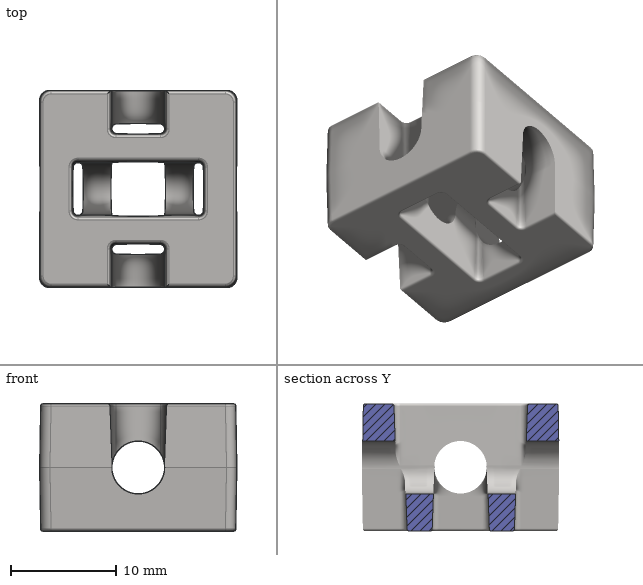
import cadquery as cq

side = 18.8
half_height = 6.07
body_draft = 1.0
corner_radius = 1.0
rim_radius = 0.25

bore_diameter = 5.0

pocket_draft = 2.0
pocket_length = 12.25
bore_bite = 0.01
pocket_width = bore_diameter - 2 * bore_bite
slot_depth = 4.06
pocket_corner_radius = 0.38

slot_overrun = 1.88
slot_cut_length = slot_depth + slot_overrun
slot_cut_center = side / 2 - slot_depth + slot_cut_length / 2


def drafted_cavity(length_x, length_y, center_y):
    """Rounded rectangular cutter that widens from the parting plane upwards."""
    outline = cq.Sketch().rect(length_x, length_y).vertices().fillet(pocket_corner_radius)
    return (
        cq.Workplane("XY")
        .center(0, center_y)
        .placeSketch(outline)
        .extrude(half_height, taper=-pocket_draft)
    )


def bore(plane):
    """Round cutter running through the whole block, normal to the given plane."""
    return cq.Workplane(plane).circle(bore_diameter / 2).extrude(side, both=True)


def upper_half():
    """Upper half: central pocket along X, open slots in the two Y sides."""
    half = (
        cq.Workplane("XY")
        .rect(side, side)
        .extrude(half_height, taper=body_draft)
        .edges("not #Z")
        .fillet(corner_radius)
    )
    half = half.cut(drafted_cavity(pocket_length, pocket_width, 0))
    for direction in (-1, 1):
        half = half.cut(drafted_cavity(pocket_width, slot_cut_length, direction * slot_cut_center))
    half = half.faces(">Z").edges().fillet(rim_radius)
    for bore_plane in ("XZ", "YZ"):
        half = half.cut(bore(bore_plane))
    return half


def lower_half():
    """The upper half turned over and rotated a quarter turn about Z."""
    return upper_half().rotate((0, 0, 0), (1, 0, 0), 180).rotate((0, 0, 0), (0, 0, 1), 90)


result = upper_half().union(lower_half())